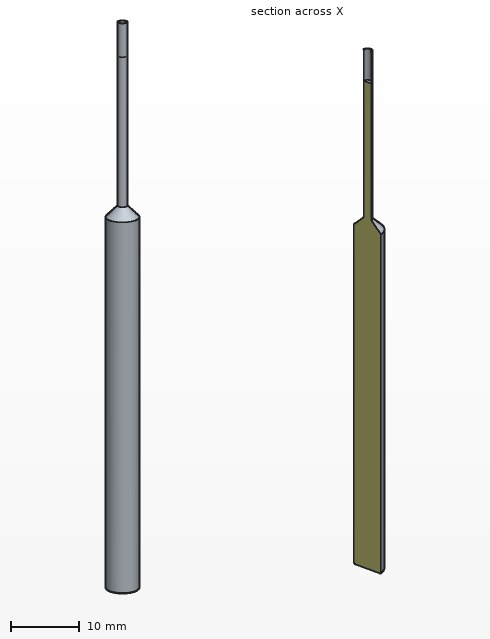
import cadquery as cq

total_length = 87.3
shank_diameter = 5.0
needle_diameter = 1.5
needle_length = 28.3
bore_diameter = 1.1
bore_depth = 5.2
foot_chamfer = 0.2

shank_radius = shank_diameter / 2
needle_radius = needle_diameter / 2

shoulder_height = shank_radius - needle_radius
shoulder_top = total_length - needle_length
shank_length = shoulder_top - shoulder_height


def make_shank():
    """Round handle standing on Z = 0, chamfered around its foot."""
    shank = cq.Workplane("XY").circle(shank_radius).extrude(shank_length)
    return shank.faces("<Z").chamfer(foot_chamfer)


def make_shoulder():
    """Cone that narrows from the shank to the needle."""
    cone = cq.Solid.makeCone(
        shank_radius,
        needle_radius,
        shoulder_height,
        pnt=cq.Vector(0, 0, shank_length),
    )
    return cq.Workplane(obj=cone)


def make_needle():
    """Thin straight pin rising from the shoulder to the tip."""
    return (
        cq.Workplane("XY")
        .workplane(offset=shoulder_top)
        .circle(needle_radius)
        .extrude(needle_length)
    )


def make_bore():
    """Blind hole sunk into the tip of the needle."""
    return (
        cq.Workplane("XY")
        .workplane(offset=total_length)
        .circle(bore_diameter / 2)
        .extrude(-bore_depth)
    )


result = make_shank().union(make_shoulder()).union(make_needle()).cut(make_bore())